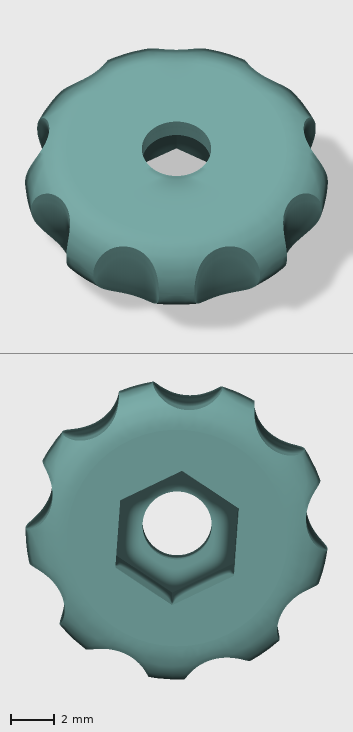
import cadquery as cq
import math

outer_radius = 7.0
thickness = 4.0
edge_radius = 1.9

scallop_count = 9
scallop_radius = 2.0
scallop_center_radius = 8.0

hole_diameter = 3.2
nut_across_flats = 5.5
hole_floor = 1.0
nut_pocket_depth = thickness - hole_floor


def knob_body():
    """Disc with both rims rounded, leaving a narrow straight band between them."""
    disc = cq.Workplane("XY").circle(outer_radius).extrude(thickness)
    return disc.faces("<Z or >Z").edges().fillet(edge_radius)


def scallop_cutters():
    """Vertical cylinders evenly spaced around the rim."""
    return (
        cq.Workplane("XY")
        .polarArray(scallop_center_radius, 0, 360, scallop_count)
        .circle(scallop_radius)
        .extrude(thickness)
    )


def screw_hole():
    return cq.Workplane("XY").circle(hole_diameter / 2).extrude(thickness)


def nut_pocket():
    """Hexagon with two corners on the X axis, open at the bottom face."""
    across_corners = nut_across_flats / math.cos(math.pi / 6)
    return cq.Workplane("XY").polygon(6, across_corners).extrude(nut_pocket_depth)


result = knob_body().cut(scallop_cutters()).cut(screw_hole()).cut(nut_pocket())